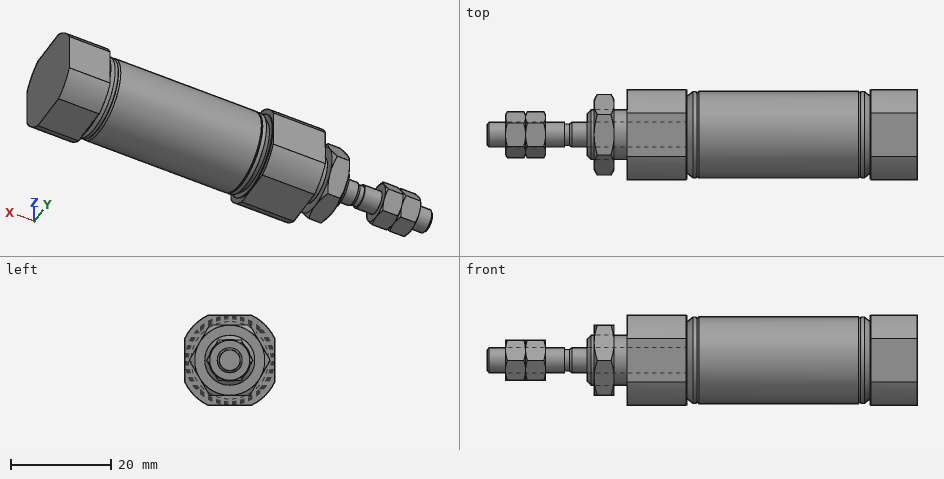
import cadquery as cq
import math

TOTAL_LENGTH = 86.0

ROD_DIAMETER = 5.0
TIP_DIAMETER = 4.13
THREAD_LENGTH = 15.5
RELIEF_DIAMETER = 4.38
RELIEF_LENGTH = 1.5
RELIEF_RUNOUT_LENGTH = 0.5

NOSE_START = 20.0
NOSE_DIAMETER = 10.0
NOSE_TIP_DIAMETER = 8.38

COVER_FLATS = 18.0
COVER_BLANK_DIAMETER = 20.0
COLLAR_DIAMETER = 17.8
COLLAR_WIDTH = 0.2
FRONT_COVER_START = 28.0
FRONT_COVER_LENGTH = 12.0
REAR_COVER_LENGTH = 9.45

TUBE_START = FRONT_COVER_START + FRONT_COVER_LENGTH
TUBE_END = TOTAL_LENGTH - REAR_COVER_LENGTH
TUBE_DIAMETER = 17.4
TUBE_END_DIAMETER = 15.5
TAPER_LENGTH = 1.13
BEAD_WIDTH = 0.8
BEAD_OUTER_DIAMETER = 17.25
BEAD_MIDDLE_DIAMETER = 17.34
BEAD_INNER_DIAMETER = 17.05
GROOVE_DIAMETER = 16.56

NUT_THICKNESS = 4.0
NUT_CHAMFER_ANGLE = 30.0
ROD_NUT_FLATS = 8.0
ROD_NUT_COUNT = 2
ROD_NUT_START = 3.7
MOUNTING_NUT_FLATS = 14.0
MOUNTING_NUT_START = 21.4


def revolve_profile(points):
    """Turn a profile of (X, radius) points about the X axis."""
    return cq.Workplane("XY").polyline(points).close().revolve(360, (0, 0, 0), (1, 0, 0))


def cylinder(start, end, diameter):
    return cq.Workplane("YZ", origin=(start, 0, 0)).circle(diameter / 2).extrude(end - start)


def make_rod():
    radius = ROD_DIAMETER / 2
    tip_radius = TIP_DIAMETER / 2
    relief_radius = RELIEF_DIAMETER / 2
    relief_end = THREAD_LENGTH + RELIEF_LENGTH
    return revolve_profile([
        (0, 0),
        (0, tip_radius),
        (radius - tip_radius, radius),
        (THREAD_LENGTH, radius),
        (THREAD_LENGTH, relief_radius),
        (relief_end - RELIEF_RUNOUT_LENGTH, relief_radius),
        (relief_end, radius),
        (TUBE_START, radius),
        (TUBE_START, 0),
    ])


def make_nose():
    radius = NOSE_DIAMETER / 2
    tip_radius = NOSE_TIP_DIAMETER / 2
    return revolve_profile([
        (NOSE_START, 0),
        (NOSE_START, tip_radius),
        (NOSE_START + radius - tip_radius, radius),
        (FRONT_COVER_START, radius),
        (FRONT_COVER_START, 0),
    ])


def make_flats(start, end):
    """Length of turned blank with four flats."""
    square = cq.Workplane("YZ", origin=(start, 0, 0)).rect(COVER_FLATS, COVER_FLATS).extrude(end - start)
    return square.intersect(cylinder(start, end, COVER_BLANK_DIAMETER))


def make_front_cover():
    collar_start = TUBE_START - COLLAR_WIDTH
    collar = cylinder(collar_start, TUBE_START, COLLAR_DIAMETER)
    return make_flats(FRONT_COVER_START, collar_start).union(collar)


def make_rear_cover():
    collar_end = TUBE_END + COLLAR_WIDTH
    collar = cylinder(TUBE_END, collar_end, COLLAR_DIAMETER)
    return make_flats(collar_end, TOTAL_LENGTH).union(collar)


def make_tube():
    """Front half of the tube and its mirror image."""
    middle = (TUBE_START + TUBE_END) / 2
    bead_start = TUBE_START + TAPER_LENGTH
    bead_middle = bead_start + BEAD_WIDTH / 2
    bead_end = bead_start + BEAD_WIDTH
    groove_end = bead_end + (TUBE_DIAMETER - GROOVE_DIAMETER) / 2
    front_half = (
        cq.Workplane("XY")
        .moveTo(TUBE_START, 0)
        .lineTo(TUBE_START, TUBE_END_DIAMETER / 2)
        .lineTo(bead_start, BEAD_OUTER_DIAMETER / 2)
        .threePointArc((bead_middle, BEAD_MIDDLE_DIAMETER / 2), (bead_end, BEAD_INNER_DIAMETER / 2))
        .lineTo(bead_end, GROOVE_DIAMETER / 2)
        .lineTo(groove_end, TUBE_DIAMETER / 2)
        .lineTo(middle, TUBE_DIAMETER / 2)
        .lineTo(middle, 0)
        .close()
        .revolve(360, (0, 0, 0), (1, 0, 0))
    )
    rear_half = front_half.mirror("YZ", (middle, 0, 0))
    return front_half.union(rear_half)


def make_housing():
    housing = make_nose().union(make_front_cover()).union(make_tube()).union(make_rear_cover())
    return housing.cut(cylinder(NOSE_START, TUBE_START, ROD_DIAMETER))


def make_nut(start, flats, bore):
    """Hexagon nut with its corners turned off at 30 degrees on both faces."""
    end = start + NUT_THICKNESS
    corner_diameter = flats / math.cos(math.pi / 6)
    face_radius = flats / 2
    corner_radius = corner_diameter / 2
    chamfer = (corner_radius - face_radius) * math.tan(math.radians(NUT_CHAMFER_ANGLE))
    hexagon = cq.Workplane("YZ", origin=(start, 0, 0)).polygon(6, corner_diameter).extrude(NUT_THICKNESS)
    turned_blank = revolve_profile([
        (start, 0),
        (start, face_radius),
        (start + chamfer, corner_radius),
        (end - chamfer, corner_radius),
        (end, face_radius),
        (end, 0),
    ])
    return hexagon.intersect(turned_blank).cut(cylinder(start, end, bore))


rod = make_rod()
housing = make_housing()
mounting_nut = make_nut(MOUNTING_NUT_START, MOUNTING_NUT_FLATS, NOSE_DIAMETER)
rod_nuts = [
    make_nut(ROD_NUT_START + index * NUT_THICKNESS, ROD_NUT_FLATS, ROD_DIAMETER)
    for index in range(ROD_NUT_COUNT)
]

result = cq.Compound.makeCompound(
    [housing.val(), rod.val(), mounting_nut.val(), *[nut.val() for nut in rod_nuts]]
)